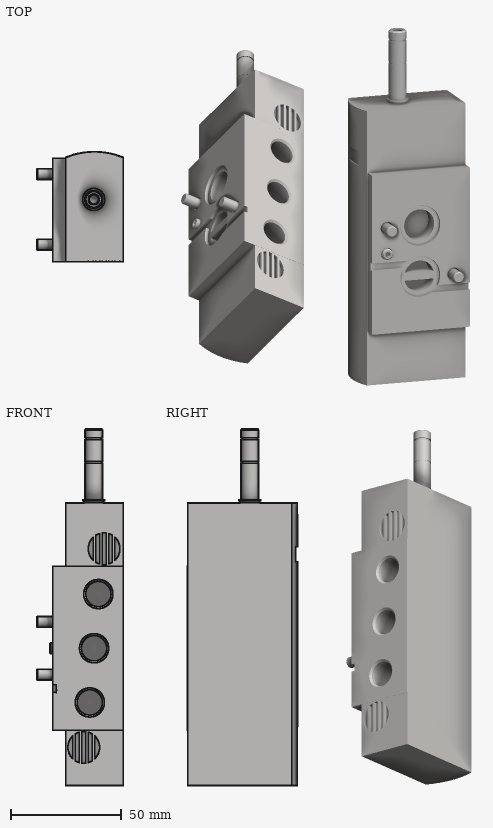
import cadquery as cq
import math

WIDTH = 31.9
STRIP_DEPTH = 46.9
SIDE_DEPTH = 47.2
CREST_DEPTH = 49.8
CAP_SETBACK = 5.8
CAP_FRONT_INSET = 0.08
BODY_BOTTOM = 25.0
BODY_TOP = 99.0
CAP_TOP = 127.8
TOTAL_HEIGHT = 161.1
BODY_MID_Z = (BODY_BOTTOM + BODY_TOP) / 2
CURVE_MID_X = (CAP_SETBACK + WIDTH) / 2

FRONT_PORT_DIAMETER = 11.5
FRONT_PORT_MOUTH = 13.2
FRONT_PORT_DEPTH = 14.5
FRONT_PORT_MID_X = 18.7
FRONT_PORT_STEP_X = 2.0
FRONT_PORT_PITCH = 24.5

FLANGE_PORT_DIAMETER = 14.3
FLANGE_PORT_DEPTH = 8.0
SEAT_DIAMETER = 19.0
SEAT_DEPTH = 1.6
FLANGE_PORT_Y = 23.7
FLANGE_PORT_OFFSET_Z = 12.0
UPPER_PORT_Z = BODY_MID_Z + FLANGE_PORT_OFFSET_Z
LOWER_PORT_Z = BODY_MID_Z - FLANGE_PORT_OFFSET_Z
BRIDGE_HEIGHT = 3.4
CHANNEL_HEIGHT = 3.4
CHANNEL_OFFSET_Z = 6.3

SCREW_DIAMETER = 5.0
SCREW_CHAMFER = 0.4
SCREW_HOLE_DIAMETER = 6.0
SCREW_PROJECTION = 7.2
SCREW_HOLE_DEPTH = 16.1
SCREW_OFFSET_Y = 16.0
STUD_DIAMETER = 5.0
STUD_PROJECTION = 1.5
STUD_HOLE_DIAMETER = 5.5
STUD_HOLE_DEPTH = 6.5
STUD_CHAMFER = 0.5
STUD_SOCKET_ACROSS_FLATS = 2.4
STUD_SOCKET_DEPTH = 2.4
STUD_Y = FLANGE_PORT_Y + SCREW_OFFSET_Y
SCREW_PLACES = [
    (FLANGE_PORT_Y + SCREW_OFFSET_Y, UPPER_PORT_Z),
    (FLANGE_PORT_Y - SCREW_OFFSET_Y, LOWER_PORT_Z),
]

GRILLE_DIAMETER = 14.3
GRILLE_RIB_WIDTH = 1.1
GRILLE_RIB_PITCH = 2.9
GRILLE_RIB_COUNT = 4
GRILLE_DEPTH = 2.0
UPPER_GRILLE_X = 23.2
UPPER_GRILLE_Z = 107.0
LOWER_GRILLE_X = 14.0
LOWER_GRILLE_Z = 17.2

BACK_RECESS_WIDTH = 14.5
BACK_RECESS_BOTTOM = 101.2
BACK_RECESS_TOP = 107.8
BACK_RECESS_DEPTH = 0.8

STEM_X = 18.5
STEM_Y = 28.2
STEM_DIAMETER = 8.0
STEM_NECK_DIAMETER = 9.0
COLLAR_DIAMETER = 10.0
COLLAR_BOTTOM = 128.5
COLLAR_TOP = 129.2
LOWER_GROOVE_DIAMETER = 7.7
LOWER_GROOVE_BOTTOM = 145.6
LOWER_GROOVE_TOP = 146.5
UPPER_GROOVE_DIAMETER = 7.1
UPPER_GROOVE_BOTTOM = 156.3
UPPER_GROOVE_TOP = 157.2
STEM_CHAMFER = 0.5
STEM_BORE_DIAMETER = 4.2
STEM_BORE_MOUTH = 5.0
STEM_BORE_DEPTH = 4.8
DRILL_POINT_ANGLE = 118.0


def cylinder_x(diameter, length, x, y, z):
    """Cylinder that starts at x and runs in +X."""
    return cq.Workplane("YZ", origin=(x, y, z)).circle(diameter / 2).extrude(length)


def cylinder_y(diameter, length, x, z):
    """Cylinder that starts on Y = 0 and runs in +Y."""
    return cq.Workplane("XZ", origin=(x, 0, z)).circle(diameter / 2).extrude(-length)


def block(x_min, x_max, y_min, y_max, z_min, z_max):
    size = (x_max - x_min, y_max - y_min, z_max - z_min)
    return cq.Workplane("XY").box(*size, centered=False).translate((x_min, y_min, z_min))


def make_center_block():
    return (
        cq.Workplane("XY", origin=(0, 0, BODY_BOTTOM))
        .lineTo(WIDTH, 0)
        .lineTo(WIDTH, SIDE_DEPTH)
        .threePointArc((CURVE_MID_X, CREST_DEPTH), (CAP_SETBACK, SIDE_DEPTH))
        .lineTo(CAP_SETBACK, STRIP_DEPTH)
        .lineTo(0, STRIP_DEPTH)
        .close()
        .extrude(BODY_TOP - BODY_BOTTOM)
    )


def make_end_cap(z_min, z_max):
    return (
        cq.Workplane("XY", origin=(0, 0, z_min))
        .moveTo(CAP_SETBACK, CAP_FRONT_INSET)
        .lineTo(WIDTH, CAP_FRONT_INSET)
        .lineTo(WIDTH, SIDE_DEPTH)
        .threePointArc((CURVE_MID_X, CREST_DEPTH), (CAP_SETBACK, SIDE_DEPTH))
        .close()
        .extrude(z_max - z_min)
    )


def make_stem():
    """Turned stem with a collar, two grooves, a chamfered tip and a drilled bore."""
    profile = [
        (STEM_NECK_DIAMETER, CAP_TOP),
        (STEM_NECK_DIAMETER, COLLAR_BOTTOM),
        (COLLAR_DIAMETER, COLLAR_BOTTOM),
        (COLLAR_DIAMETER, COLLAR_TOP),
        (STEM_DIAMETER, COLLAR_TOP),
        (STEM_DIAMETER, LOWER_GROOVE_BOTTOM),
        (LOWER_GROOVE_DIAMETER, LOWER_GROOVE_BOTTOM),
        (LOWER_GROOVE_DIAMETER, LOWER_GROOVE_TOP),
        (STEM_DIAMETER, LOWER_GROOVE_TOP),
        (STEM_DIAMETER, UPPER_GROOVE_BOTTOM),
        (UPPER_GROOVE_DIAMETER, UPPER_GROOVE_BOTTOM),
        (UPPER_GROOVE_DIAMETER, UPPER_GROOVE_TOP),
        (STEM_DIAMETER, UPPER_GROOVE_TOP),
        (STEM_DIAMETER, TOTAL_HEIGHT - STEM_CHAMFER),
        (STEM_DIAMETER - 2 * STEM_CHAMFER, TOTAL_HEIGHT),
        (STEM_BORE_MOUTH, TOTAL_HEIGHT),
        (STEM_BORE_DIAMETER, TOTAL_HEIGHT - (STEM_BORE_MOUTH - STEM_BORE_DIAMETER) / 2),
        (STEM_BORE_DIAMETER, TOTAL_HEIGHT - STEM_BORE_DEPTH),
    ]
    point_depth = STEM_BORE_DIAMETER / 2 / math.tan(math.radians(DRILL_POINT_ANGLE / 2))
    half_section = [(0, CAP_TOP)] + [(diameter / 2, z) for diameter, z in profile]
    half_section.append((0, TOTAL_HEIGHT - STEM_BORE_DEPTH - point_depth))
    return (
        cq.Workplane("XZ")
        .polyline(half_section)
        .close()
        .revolve(360, (0, 0, 0), (0, 1, 0))
        .translate((STEM_X, STEM_Y, 0))
    )


def make_front_port(row):
    """Port with a chamfered mouth; row runs from -1 (lowest) to 1 (highest)."""
    x = FRONT_PORT_MID_X + row * FRONT_PORT_STEP_X
    z = BODY_MID_Z + row * FRONT_PORT_PITCH
    mouth_depth = (FRONT_PORT_MOUTH - FRONT_PORT_DIAMETER) / 2
    mouth = (
        cq.Workplane("XZ", origin=(x, 0, z))
        .circle(FRONT_PORT_MOUTH / 2)
        .workplane(offset=-mouth_depth)
        .circle(FRONT_PORT_DIAMETER / 2)
        .loft()
    )
    return cylinder_y(FRONT_PORT_DIAMETER, FRONT_PORT_DEPTH, x, z).union(mouth)


def make_flange_port(z):
    seat = cylinder_x(SEAT_DIAMETER, SEAT_DEPTH, 0, FLANGE_PORT_Y, z)
    return seat.union(cylinder_x(FLANGE_PORT_DIAMETER, SEAT_DEPTH + FLANGE_PORT_DEPTH, 0, FLANGE_PORT_Y, z))


def make_bridge():
    """Bar left standing across the lower flange port, level with the seat floor."""
    half_length = SEAT_DIAMETER / 2
    half_height = BRIDGE_HEIGHT / 2
    return block(
        SEAT_DEPTH, SEAT_DEPTH + FLANGE_PORT_DEPTH,
        FLANGE_PORT_Y - half_length, FLANGE_PORT_Y + half_length,
        LOWER_PORT_Z - half_height, LOWER_PORT_Z + half_height,
    )


def make_channels():
    """One channel to the back edge above the port center, one to the front edge below it."""
    half_height = CHANNEL_HEIGHT / 2
    back_z = LOWER_PORT_Z + CHANNEL_OFFSET_Z
    front_z = LOWER_PORT_Z - CHANNEL_OFFSET_Z
    back = block(0, SEAT_DEPTH, FLANGE_PORT_Y, STRIP_DEPTH, back_z - half_height, back_z + half_height)
    front = block(0, SEAT_DEPTH, 0, FLANGE_PORT_Y, front_z - half_height, front_z + half_height)
    return back.union(front)


def make_grille(x, z):
    """Round recess crossed by upright ribs that stay level with the cap's front face."""
    floor_y = CAP_FRONT_INSET + GRILLE_DEPTH
    ribs = (
        cq.Workplane("XZ", origin=(x, 0, z))
        .rarray(GRILLE_RIB_PITCH, 1.6, GRILLE_RIB_COUNT, 1)
        .rect(GRILLE_RIB_WIDTH, GRILLE_DIAMETER)
        .extrude(-floor_y)
    )
    return cylinder_y(GRILLE_DIAMETER, floor_y, x, z).cut(ribs)


def make_back_recess():
    half_width = BACK_RECESS_WIDTH / 2
    return block(
        CURVE_MID_X - half_width, CURVE_MID_X + half_width,
        CREST_DEPTH - BACK_RECESS_DEPTH, CREST_DEPTH,
        BACK_RECESS_BOTTOM, BACK_RECESS_TOP,
    )


def make_housing():
    housing = make_center_block()
    housing = housing.union(make_end_cap(0, BODY_BOTTOM))
    housing = housing.union(make_end_cap(BODY_TOP, CAP_TOP))
    housing = housing.union(make_stem())
    for row in (-1, 0, 1):
        housing = housing.cut(make_front_port(row))
    housing = housing.cut(make_flange_port(UPPER_PORT_Z))
    housing = housing.cut(make_flange_port(LOWER_PORT_Z).cut(make_bridge()))
    housing = housing.cut(make_channels())
    housing = housing.cut(make_grille(UPPER_GRILLE_X, UPPER_GRILLE_Z))
    housing = housing.cut(make_grille(LOWER_GRILLE_X, LOWER_GRILLE_Z))
    housing = housing.cut(make_back_recess())
    for y, z in SCREW_PLACES:
        housing = housing.cut(cylinder_x(SCREW_HOLE_DIAMETER, SCREW_HOLE_DEPTH, 0, y, z))
    return housing.cut(cylinder_x(STUD_HOLE_DIAMETER, STUD_HOLE_DEPTH, 0, STUD_Y, BODY_MID_Z))


def make_screw(y, z):
    """Screw standing on the floor of its clearance hole."""
    length = SCREW_PROJECTION + SCREW_HOLE_DEPTH
    screw = cylinder_x(SCREW_DIAMETER, length, -SCREW_PROJECTION, y, z)
    return screw.faces("<X").chamfer(SCREW_CHAMFER)


def make_stud():
    """Coding stud with a hexagon socket, standing on the floor of its clearance hole."""
    stud = cylinder_x(STUD_DIAMETER, STUD_PROJECTION + STUD_HOLE_DEPTH, -STUD_PROJECTION, STUD_Y, BODY_MID_Z)
    stud = stud.faces("<X").chamfer(STUD_CHAMFER)
    socket = (
        cq.Workplane("YZ", origin=(-STUD_PROJECTION, STUD_Y, BODY_MID_Z))
        .polygon(6, STUD_SOCKET_ACROSS_FLATS, circumscribed=True)
        .extrude(STUD_SOCKET_DEPTH)
    )
    return stud.cut(socket)


housing = make_housing()
screws = [make_screw(y, z) for y, z in SCREW_PLACES]
stud = make_stud()

result = cq.Compound.makeCompound([housing.val(), *[screw.val() for screw in screws], stud.val()])